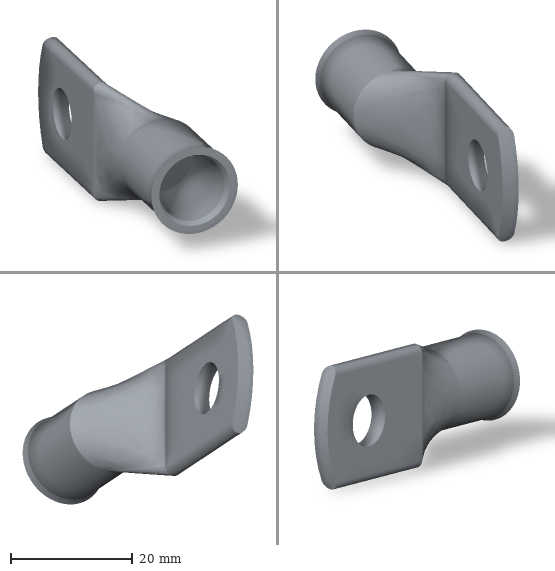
import cadquery as cq
import math

length = 52.25
palm_width = 20.85
palm_thickness = 2.8
palm_end = 25.6
nose_depth = 2.8
hole_x = 11.2
hole_diameter = 8.75
barrel_start = 36.6
barrel_diameter = 14.2
barrel_axis_y = 7.75
flare_length = 1.05
mouth_diameter = 15.25
side_strip_width = 1.9

half_width = palm_width / 2
edge_radius = palm_thickness / 2
barrel_radius = barrel_diameter / 2
mouth_radius = mouth_diameter / 2
wall = palm_thickness / 2
flare_start = length - flare_length


def cross_section(x):
    """Plane across the part, with local coordinates (Y, Z)."""
    return cq.Workplane("YZ", origin=(x, 0, 0))


def palm_outline(plane):
    """Flattened tube section with fully rounded edges."""
    flat_half = half_width - edge_radius
    return (
        plane.moveTo(0, -flat_half)
        .lineTo(0, flat_half)
        .threePointArc((edge_radius, half_width), (palm_thickness, flat_half))
        .lineTo(palm_thickness, -flat_half)
        .threePointArc((edge_radius, -half_width), (0, -flat_half))
        .close()
    )


def barrel_outline(plane):
    """Round section split into four arcs that match the edges of the palm section."""
    half_strip_angle = math.asin(side_strip_width / 2 / barrel_radius)

    def rim_point(angle):
        y = barrel_axis_y - barrel_radius * math.cos(angle)
        return y, barrel_radius * math.sin(angle)

    side_middle = math.pi / 2
    lower_corner = side_middle - half_strip_angle
    upper_corner = side_middle + half_strip_angle
    return (
        plane.moveTo(*rim_point(-lower_corner))
        .threePointArc(rim_point(0), rim_point(lower_corner))
        .threePointArc(rim_point(side_middle), rim_point(upper_corner))
        .threePointArc(rim_point(math.pi), rim_point(-upper_corner))
        .threePointArc(rim_point(-side_middle), rim_point(-lower_corner))
        .close()
    )


def make_palm():
    """Flat palm with an arched nose and a bolt hole."""
    blank = palm_outline(cross_section(0)).extrude(palm_end)
    nose_limit = (
        cq.Workplane("XZ")
        .moveTo(palm_end, -half_width)
        .lineTo(nose_depth, -half_width)
        .threePointArc((0, 0), (nose_depth, half_width))
        .lineTo(palm_end, half_width)
        .close()
        .extrude(-palm_thickness)
    )
    bolt_hole = (
        cq.Workplane("XZ").center(hole_x, 0).circle(hole_diameter / 2).extrude(-palm_thickness)
    )
    return blank.intersect(nose_limit).cut(bolt_hole)


def make_transition():
    """Straight-sided blend from the flat palm to the round barrel."""
    palm_wire = palm_outline(cross_section(palm_end)).val()
    barrel_wire = barrel_outline(cross_section(barrel_start)).val()
    return cq.Workplane(cq.Solid.makeLoft([palm_wire, barrel_wire], True))


def make_barrel():
    """Open tube with a flared mouth of even wall thickness."""
    profile = [
        (barrel_start, barrel_radius),
        (flare_start, barrel_radius),
        (length, mouth_radius),
        (length, mouth_radius - wall),
        (flare_start, barrel_radius - wall),
        (barrel_start, barrel_radius - wall),
    ]
    tube = cq.Workplane("XY").polyline(profile).close().revolve(360, (0, 0, 0), (1, 0, 0))
    return tube.translate((0, barrel_axis_y, 0))


result = make_palm().union(make_transition()).union(make_barrel())